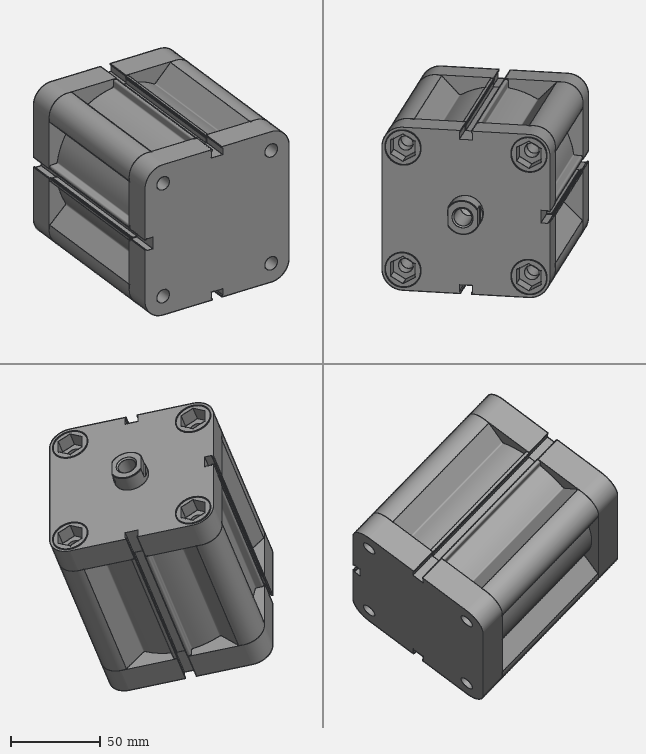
import cadquery as cq
import math

side = 96.0
half_side = side / 2
corner_radius = 12.0
corner_offset = half_side - corner_radius
rod_projection = 10.0
overall_length = 126.5
body_length = overall_length - rod_projection
cap_length = 16.6
barrel_length = body_length - 2 * cap_length
quarter_turns = (0, 90, 180, 270)
slot_turns = (0, 90, 180)

bolt_hole_diameter = 8.3
hex_across_flats = 13.9
hex_turn = 30
hex_depth = 8.7
ring_outer_diameter = 20.6
ring_width = 0.3
ring_depth = 0.6

slot_depth = 5.2
cap_mouth_width = 6.3
cap_slot_width = 7.5
cap_lip_depth = 0.8
cap_lip_slope_end = 1.3

core_radius = 43.0
core_tolerance = 0.01
web_overhang = 3.2
web_angle = 44
web_wall_length = 17.7
web_fillet = 1.0
rib_half_width = 5.3
rib_top_drop = 0.4
rib_base_radius = 38.0
rib_round = 1.1
rib_base_fillet = 0.9
lip_width = 5.5
lip_chamfer = 0.4
lip_depth = 1.3
undercut_width = 7.3
undercut_depth = 2.3
barrel_slot_width = 6.3

rod_diameter = 20.0
rod_chamfer = 0.4
flats_width = 16.8
flats_length = 6.7
flat_runout = 0.5
thread_diameter = 12.0
drill_diameter = 10.2
drill_depth = 20.2
drill_point_angle = 118


def mirrored_outline(right_points):
    """Close an outline symmetric about the local vertical axis, given its right half."""
    left_points = [(-y, z) for y, z in reversed(right_points)]
    return cq.Workplane("YZ").polyline(right_points + left_points).close()


def turned(shape, angle):
    """Turn a shape about the long axis; a quarter turn takes +Z to -Y."""
    return shape.rotate((0, 0, 0), (1, 0, 0), angle)


def corner_points():
    """Centres of the four corner rounds, as (Y, Z)."""
    return [(y, z) for y in (-corner_offset, corner_offset) for z in (-corner_offset, corner_offset)]


def bolt_holes(length):
    """The four corner screw holes as cutting cylinders."""
    return cq.Workplane("YZ").pushPoints(corner_points()).circle(bolt_hole_diameter / 2).extrude(length)


def make_cap():
    """Square end cap with rounded corners, three T-slots and four screw holes."""
    cap = cq.Workplane("YZ").rect(side, side).extrude(cap_length).edges("|X").fillet(corner_radius)
    slot = mirrored_outline([
        (cap_mouth_width / 2, half_side),
        (cap_mouth_width / 2, half_side - cap_lip_depth),
        (cap_slot_width / 2, half_side - cap_lip_slope_end),
        (cap_slot_width / 2, half_side - slot_depth),
    ]).extrude(cap_length)
    for angle in slot_turns:
        cap = cap.cut(turned(slot, angle))
    return cap.cut(bolt_holes(cap_length))


def make_front_cap():
    """End cap with hexagon sockets, ring grooves and the rod bore."""
    hex_diameter = hex_across_flats / math.cos(math.radians(30))
    ring_radius = ring_outer_diameter / 2
    socket = (
        cq.Workplane("YZ").transformed(rotate=(0, 0, hex_turn))
        .polygon(6, hex_diameter).extrude(hex_depth)
    )
    rings = (
        cq.Workplane("YZ").pushPoints(corner_points())
        .circle(ring_radius).circle(ring_radius - ring_width).extrude(ring_depth)
    )
    bore = cq.Workplane("YZ").circle(rod_diameter / 2).extrude(cap_length)
    cap = make_cap().cut(rings).cut(bore)
    for y, z in corner_points():
        cap = cap.cut(socket.translate((0, y, z)))
    return cap


def make_corner_post():
    """Round corner of the barrel with the flared web that ties it to the core."""
    wall_y = corner_offset - web_overhang
    wall_z = corner_offset + math.sqrt(corner_radius**2 - web_overhang**2)
    root_y = wall_y - web_wall_length * math.sin(math.radians(web_angle))
    root_z = wall_z - web_wall_length * math.cos(math.radians(web_angle))
    crown = corner_offset + corner_radius * math.cos(math.radians(45))
    return (
        cq.Workplane("YZ")
        .lineTo(root_y, root_z).lineTo(wall_y, wall_z)
        .threePointArc((crown, crown), (wall_z, wall_y))
        .lineTo(root_z, root_y)
        .close().extrude(barrel_length)
    )


def is_on_core(edge):
    """True for a lengthwise edge that lies on the surface of the core."""
    return abs(math.hypot(edge.Center().y, edge.Center().z) - core_radius) < core_tolerance


def make_barrel():
    """Round core with four corner posts, and a slotted rib on three sides."""
    barrel = cq.Workplane("YZ").circle(core_radius).extrude(barrel_length)
    for angle in quarter_turns:
        barrel = barrel.union(turned(make_corner_post(), angle))
    barrel = barrel.edges("|X").filter(is_on_core).fillet(web_fillet)

    rib_top = half_side - rib_top_drop
    rib = (
        cq.Workplane("YZ").center(0, (rib_base_radius + rib_top) / 2)
        .rect(2 * rib_half_width, rib_top - rib_base_radius).extrude(barrel_length)
        .edges("|X and >Z").fillet(rib_round)
    )
    for angle in slot_turns:
        barrel = barrel.union(turned(rib, angle))
    barrel = barrel.edges("|X").filter(is_on_core).fillet(rib_base_fillet)

    slot = mirrored_outline([
        (lip_width / 2 + lip_chamfer, rib_top),
        (lip_width / 2, rib_top - lip_chamfer),
        (lip_width / 2, half_side - lip_depth),
        (undercut_width / 2, half_side - lip_depth),
        (undercut_width / 2, half_side - undercut_depth),
        (barrel_slot_width / 2, half_side - undercut_depth),
        (barrel_slot_width / 2, half_side - slot_depth),
    ]).extrude(barrel_length)
    for angle in slot_turns:
        barrel = barrel.cut(turned(slot, angle))
    return barrel.cut(bolt_holes(barrel_length))


def make_rod():
    """Piston rod end with two wrench flats and a countersunk, drilled hole."""
    rod_length = rod_projection + cap_length
    rod = cq.Workplane("YZ").circle(rod_diameter / 2).extrude(rod_length).faces("<X").chamfer(rod_chamfer)
    for side_sign in (-1, 1):
        flat_y = side_sign * flats_width / 2
        outside_y = side_sign * rod_diameter
        runout_y = flat_y + side_sign * flat_runout
        flat = (
            cq.Workplane("XY").workplane(offset=-rod_diameter / 2)
            .polyline([
                (0, outside_y), (0, flat_y), (flats_length, flat_y),
                (flats_length + flat_runout, runout_y),
                (flats_length + flat_runout, outside_y),
            ])
            .close().extrude(rod_diameter)
        )
        rod = rod.cut(flat)
    drill_radius = drill_diameter / 2
    thread_radius = thread_diameter / 2
    point_length = drill_radius / math.tan(math.radians(drill_point_angle / 2))
    hole = (
        cq.Workplane("XY")
        .polyline([
            (0, 0), (0, thread_radius), (thread_radius - drill_radius, drill_radius),
            (drill_depth, drill_radius), (drill_depth + point_length, 0),
        ])
        .close().revolve(360, (0, 0, 0), (1, 0, 0))
    )
    return rod.cut(hole).translate((-rod_projection, 0, 0))


front_cap = make_front_cap()
barrel = make_barrel().translate((cap_length, 0, 0))
rear_cap = make_cap().translate((cap_length + barrel_length, 0, 0))
piston_rod = make_rod()

result = cq.Compound.makeCompound([front_cap.val(), barrel.val(), rear_cap.val(), piston_rod.val()])